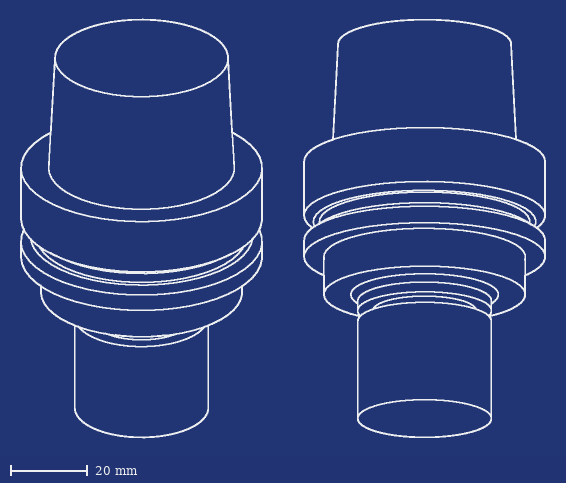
import cadquery as cq

total_height = 102.0

shank_top_diameter = 45.3
shank_base_diameter = 48.6

flange_diameter = 63.0
flange_top = 70.0
flange_bottom = 44.1
groove_diameter = 55.0
groove_lip_diameter = 58.1
groove_middle = 51.9
groove_floor_height = 3.4
groove_mouth_height = 6.7

collar_diameter = 52.6
collar_bottom = 33.8

insert_diameter = 35.0
insert_cone_diameter = 38.6
insert_cone_bottom = 32.0
neck_diameter = 27.0
neck_top = 29.4
neck_bottom = 26.5


def turned(outline):
    """Revolve (diameter, z) points, closed along the axis, into a solid."""
    bottom = outline[0][1]
    top = outline[-1][1]
    points = [(0, bottom)] + [(diameter / 2, z) for diameter, z in outline] + [(0, top)]
    return cq.Workplane("XZ").polyline(points).close().revolve(360, (0, 0), (0, 1))


def make_holder():
    """Collar, grooved flange and tapered shank in one solid."""
    floor_bottom = groove_middle - groove_floor_height / 2
    floor_top = groove_middle + groove_floor_height / 2
    mouth_bottom = groove_middle - groove_mouth_height / 2
    mouth_top = groove_middle + groove_mouth_height / 2
    return turned([
        (collar_diameter, collar_bottom),
        (collar_diameter, flange_bottom),
        (flange_diameter, flange_bottom),
        (flange_diameter, mouth_bottom),
        (groove_lip_diameter, floor_bottom),
        (groove_diameter, floor_bottom),
        (groove_diameter, floor_top),
        (groove_lip_diameter, floor_top),
        (flange_diameter, mouth_top),
        (flange_diameter, flange_top),
        (shank_base_diameter, flange_top),
        (shank_top_diameter, total_height),
    ])


def make_insert():
    """Cylinder with a relief neck and a cone that seats on the collar face."""
    return turned([
        (insert_diameter, 0),
        (insert_diameter, neck_bottom),
        (neck_diameter, neck_bottom),
        (neck_diameter, neck_top),
        (insert_diameter, neck_top),
        (insert_diameter, insert_cone_bottom),
        (insert_cone_diameter, collar_bottom),
    ])


holder = make_holder()
insert = make_insert()

result = cq.Compound.makeCompound([holder.val(), insert.val()])